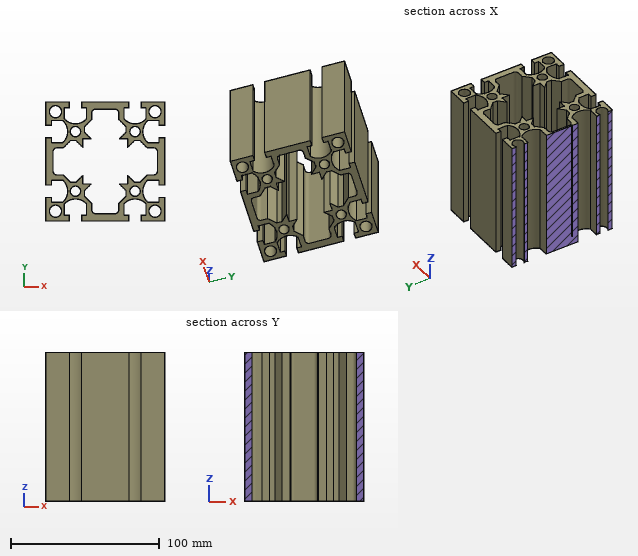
import cadquery as cq

SIDE = 80.0
LENGTH = 100.0
HALF_SIDE = SIDE / 2

SLOT_OFFSET = 20.0
SLOT_OPENING = 8.2
SLOT_WIDTH = 14.7
LIP_THICKNESS = 4.0
SLOT_WALL_DEPTH = 11.5
SLOT_DEPTH = 14.7

CORNER_HOLE_DIAMETER = 8.0
CORNER_HOLE_INSET = 6.6
CORE_HOLE_DIAMETER = 6.8

OUTER_WALL = 5.0
ARM_HALF_WIDTH = 9.0
ARM_CORNER_RADIUS = 2.5
FLANK_OFFSET = 13.9
FLANK_OUTER_END = 23.3
FLANK_INNER_END = 19.6
NOTCH_OFFSET = 15.1


def make_slot():
    """Cutter for one slot in the +Y face, on the +X side."""
    half_opening = SLOT_OPENING / 2
    half_width = SLOT_WIDTH / 2
    lip_y = HALF_SIDE - LIP_THICKNESS
    wall_end_y = HALF_SIDE - SLOT_WALL_DEPTH
    floor_y = HALF_SIDE - SLOT_DEPTH
    return (
        cq.Workplane("XY")
        .moveTo(SLOT_OFFSET - half_opening, HALF_SIDE)
        .lineTo(SLOT_OFFSET - half_opening, lip_y)
        .lineTo(SLOT_OFFSET - half_width, lip_y)
        .lineTo(SLOT_OFFSET - half_width, wall_end_y)
        .threePointArc((SLOT_OFFSET, floor_y), (SLOT_OFFSET + half_width, wall_end_y))
        .lineTo(SLOT_OFFSET + half_width, lip_y)
        .lineTo(SLOT_OFFSET + half_opening, lip_y)
        .lineTo(SLOT_OFFSET + half_opening, HALF_SIDE)
        .close()
        .extrude(LENGTH)
    )


def core_quadrant_points():
    """Core outline in the +X +Y quadrant, from the +Y arm round to the +X arm."""
    arm_end = HALF_SIDE - OUTER_WALL
    arm_root = FLANK_OUTER_END + (FLANK_OFFSET - ARM_HALF_WIDTH)
    tip = FLANK_OFFSET - (FLANK_INNER_END - NOTCH_OFFSET)
    upper = [
        (ARM_HALF_WIDTH, arm_end),
        (ARM_HALF_WIDTH, arm_root),
        (FLANK_OFFSET, FLANK_OUTER_END),
        (FLANK_OFFSET, FLANK_INNER_END),
        (tip, NOTCH_OFFSET),
    ]
    lower = [(y, x) for x, y in reversed(upper)]
    return upper + [(NOTCH_OFFSET, NOTCH_OFFSET)] + lower


def make_core():
    """Cutter for the hollow core, with the ends of its four arms rounded."""
    first = core_quadrant_points()
    second = [(x, -y) for x, y in reversed(first)]
    right_half = first + second
    left_half = [(-x, -y) for x, y in right_half]
    core = cq.Workplane("XY").polyline(right_half + left_half).close().extrude(LENGTH)

    arm_end = HALF_SIDE - OUTER_WALL
    arm_corners = core.edges("|Z").filter(
        lambda edge: max(abs(edge.Center().x), abs(edge.Center().y)) > arm_end - ARM_CORNER_RADIUS
    )
    return arm_corners.fillet(ARM_CORNER_RADIUS)


def make_holes(diameter, offset):
    """Four round cutters, one per corner, at the given offset along X and Y."""
    return (
        cq.Workplane("XY")
        .rect(2 * offset, 2 * offset, forConstruction=True)
        .vertices()
        .circle(diameter / 2)
        .extrude(LENGTH)
    )


result = cq.Workplane("XY").rect(SIDE, SIDE).extrude(LENGTH)

right_slot = make_slot()
left_slot = right_slot.mirror("YZ")
for angle in (0, 90, 180, 270):
    for slot in (right_slot, left_slot):
        result = result.cut(slot.rotate((0, 0, 0), (0, 0, 1), angle))

result = result.cut(make_core())
result = result.cut(make_holes(CORNER_HOLE_DIAMETER, HALF_SIDE - CORNER_HOLE_INSET))
result = result.cut(make_holes(CORE_HOLE_DIAMETER, SLOT_OFFSET))